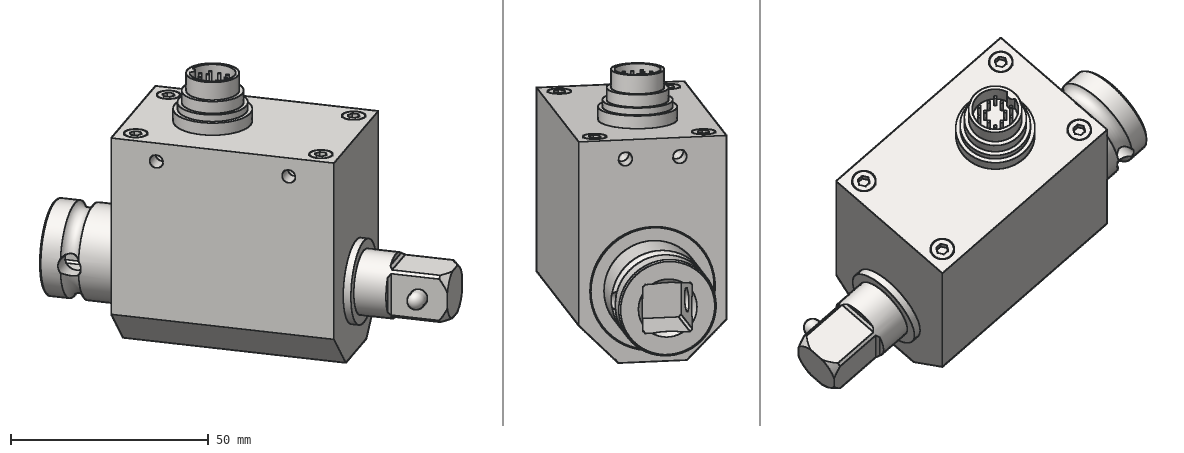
import cadquery as cq
import math


housing_length = 58.9
housing_width = 38.0
housing_height = 58.0
housing_chamfer = 10.2
socket_length = 21.0

housing_start = socket_length
housing_end = housing_start + housing_length
housing_mid = (housing_start + housing_end) / 2
half_width = housing_width / 2
housing_bottom = -half_width
housing_top = housing_bottom + housing_height

socket_radius = 25.0 / 2
socket_rim_chamfer = 0.4
groove_centre = 8.0
groove_width = 4.8
groove_depth = 1.6
cross_hole_diameter = 6.0
drive_size = 12.7
socket_depth = 15.9
socket_corner_chamfer = 0.6
mouth_radius = 15.0 / 2

seam_outer_diameter = 32.1
seam_width = 0.2
seam_depth = 0.3

overall_length = 106.0
flange_diameter = 22.0
flange_thickness = 2.0
shaft_diameter = 17.0
shaft_length = 10.5
shaft_end = housing_end + shaft_length
drive_length = overall_length - shaft_end
drive_root_chamfer = 0.7
tip_radius = 6.7
tip_length = 2.1

pin_diameter = 4.6
pin_x = 98.5
pin_reach = 11.0

connector_inset = 21.0
connector_x = housing_start + connector_inset
connector_steps = [(20.0, 3.3), (17.8, 5.1), (15.7, 8.3), (13.5, 13.0)]
connector_height = connector_steps[-1][1]
connector_bore_diameter = 11.7
connector_bore_depth = 5.0
key_diameter = 2.9
key_offset = 6.1
contact_diameter = 0.76
contact_length = 3.7
contact_rings = [(4.2, (45, 115.5, 154.5)), (3.3, (14.5, 75.5)), (2.5, (135,))]

screw_inset = 5.0
screw_spacing_y = 28.0
screw_spacing_x = housing_length - 2 * screw_inset
screw_bore_diameter = 6.0
screw_head_diameter = 5.7
screw_head_height = 3.0
hex_corner_diameter = 3.2
hex_depth = 1.5

mount_hole_diameter = 3.5
mount_hole_depth = 5.0
mount_tip_angle = 118
mount_hole_drop = 5.0
side_hole_spacing = 35.0
face_hole_spacing = 14.0


def x_cylinder(diameter, start, end):
    return cq.Workplane("YZ", origin=(start, 0, 0)).circle(diameter / 2).extrude(end - start)


def make_housing():
    return (
        cq.Workplane("XY")
        .box(housing_length, housing_width, housing_height)
        .translate((housing_mid, 0, housing_bottom + housing_height / 2))
        .edges("|X and <Z")
        .chamfer(housing_chamfer)
    )


def make_socket():
    groove_start = groove_centre - groove_width / 2
    groove_end = groove_centre + groove_width / 2
    return (
        cq.Workplane("XY")
        .lineTo(0, socket_radius - socket_rim_chamfer)
        .lineTo(socket_rim_chamfer, socket_radius)
        .lineTo(groove_start, socket_radius)
        .threePointArc((groove_centre, socket_radius - groove_depth), (groove_end, socket_radius))
        .lineTo(housing_start, socket_radius)
        .lineTo(housing_start, 0)
        .close()
        .revolve(360, (0, 0, 0), (1, 0, 0))
    )


def make_socket_cavity():
    square = (
        cq.Workplane("YZ")
        .rect(drive_size, drive_size)
        .extrude(socket_depth)
        .edges("|X")
        .chamfer(socket_corner_chamfer)
    )
    mouth = cq.Workplane(cq.Solid.makeCone(mouth_radius, 0, mouth_radius, dir=cq.Vector(1, 0, 0)))
    cross_hole = (
        cq.Workplane("XZ", origin=(groove_centre, 0, 0))
        .circle(cross_hole_diameter / 2)
        .extrude(socket_radius, both=True)
    )
    return square.union(mouth).union(cross_hole)


def make_bearing_seam():
    return (
        cq.Workplane("YZ", origin=(housing_start, 0, 0))
        .circle(seam_outer_diameter / 2)
        .circle(seam_outer_diameter / 2 - seam_width)
        .extrude(seam_depth)
    )


def make_square_drive():
    square = cq.Workplane("YZ", origin=(shaft_end, 0, 0)).rect(drive_size, drive_size).extrude(drive_length)
    root_size = drive_size + 2 * drive_root_chamfer
    root = (
        cq.Workplane("YZ", origin=(shaft_end, 0, 0))
        .rect(root_size, root_size)
        .workplane(offset=drive_root_chamfer)
        .rect(drive_size, drive_size)
        .loft()
    )
    shaft_radius = shaft_diameter / 2
    envelope = (
        cq.Workplane("XY", origin=(shaft_end, 0, 0))
        .lineTo(0, shaft_radius)
        .lineTo(drive_length - tip_length, shaft_radius)
        .lineTo(drive_length, tip_radius)
        .lineTo(drive_length, 0)
        .close()
        .revolve(360, (0, 0, 0), (1, 0, 0))
    )
    return square.union(root).intersect(envelope)


def make_spring_pin():
    pin_radius = pin_diameter / 2
    dome_start = pin_reach - pin_radius
    stem = cq.Workplane("XZ", origin=(pin_x, 0, 0)).circle(pin_radius).extrude(dome_start)
    dome = cq.Workplane("XY", origin=(pin_x, -dome_start, 0)).sphere(pin_radius)
    return stem.union(dome)


def make_output():
    flange = x_cylinder(flange_diameter, housing_end, housing_end + flange_thickness)
    shaft = x_cylinder(shaft_diameter, housing_end, shaft_end)
    return flange.union(shaft).union(make_square_drive()).union(make_spring_pin())


def contact_points():
    return [
        (radius * math.cos(math.radians(angle + turn)), radius * math.sin(math.radians(angle + turn)))
        for radius, angles in contact_rings
        for angle in angles
        for turn in (0, 180)
    ]


def make_connector():
    base = cq.Workplane("XY", origin=(connector_x, 0, housing_top))
    shell = base.circle(connector_steps[0][0] / 2).extrude(connector_steps[0][1])
    for diameter, height in connector_steps[1:]:
        shell = shell.union(base.circle(diameter / 2).extrude(height))

    floor = base.workplane(offset=connector_height - connector_bore_depth)
    bore = floor.circle(connector_bore_diameter / 2).extrude(connector_bore_depth)
    key = floor.center(-key_offset, 0).circle(key_diameter / 2).extrude(connector_bore_depth)
    contacts = floor.pushPoints(contact_points()).circle(contact_diameter / 2).extrude(contact_length)
    return shell.cut(bore.cut(key)).union(contacts)


def make_screw_recesses():
    top = cq.Workplane("XY", origin=(housing_mid, 0, housing_top))
    top = top.rarray(screw_spacing_x, screw_spacing_y, 2, 2)
    bores = top.circle(screw_bore_diameter / 2).extrude(-screw_head_height)
    heads = top.circle(screw_head_diameter / 2).extrude(-screw_head_height)
    hexes = top.polygon(6, hex_corner_diameter).extrude(-hex_depth)
    return bores.cut(heads).union(hexes)


def blind_hole(mouth, direction):
    radius = mount_hole_diameter / 2
    tip_height = radius / math.tan(math.radians(mount_tip_angle / 2))
    axis = cq.Vector(*direction)
    start = cq.Vector(*mouth)
    bore = cq.Solid.makeCylinder(radius, mount_hole_depth, start, axis)
    tip = cq.Solid.makeCone(radius, 0, tip_height, start + axis * mount_hole_depth, axis)
    return cq.Workplane(bore).union(cq.Workplane(tip))


result = make_housing().union(make_socket()).union(make_output()).union(make_connector())
result = result.cut(make_socket_cavity()).cut(make_bearing_seam()).cut(make_screw_recesses())

hole_z = housing_top - mount_hole_drop
for side in (-1, 1):
    front_mouth = (housing_mid + side * side_hole_spacing / 2, -half_width, hole_z)
    socket_side_mouth = (housing_start, side * face_hole_spacing / 2, hole_z)
    result = result.cut(blind_hole(front_mouth, (0, 1, 0)))
    result = result.cut(blind_hole(socket_side_mouth, (1, 0, 0)))